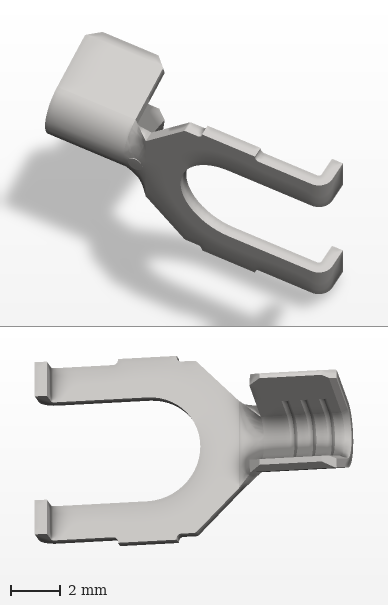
import cadquery as cq
import math

LENGTH = 12.7
EAR_WIDTH = 7.65
STOCK = 0.5

BARREL_LENGTH = 3.54
BARREL_DEPTH = 4.06
BARREL_RAISE = 0.03
BARREL_RADIUS = 1.42
LEG_SPREAD = 15.4
LEG_CORNER = 0.51
LEG_BEVEL_LENGTH = 0.46
LEG_BEVEL_DEPTH = 0.27

ENTRY_LENGTH = 0.25
ENTRY_DEPTH = 0.13
GROOVE_COUNT = 3
GROOVE_FIRST = 0.8
GROOVE_PITCH = 0.76
GROOVE_WIDTH = 0.3
GROOVE_DEPTH = 0.13
GROOVE_END_Y = 2.29

NECK_END = 4.57
NECK_WIDTH = 3.63
PIP_X = 4.09
PIP_RADIUS = 0.33

FORK_WIDTH = 7.16
SHOULDER_ROUND = 0.19
SLOT_RADIUS = 2.16
SLOT_BOTTOM = 6.15
EAR_START = 7.11
EAR_END = 9.51
EAR_FILLET = 0.19
PICK_MARGIN = 0.06
TIP_HEIGHT = 1.51
TIP_INNER_RADIUS = 0.13

spread = math.radians(LEG_SPREAD)
inner_radius = BARREL_RADIUS - STOCK
arc_center_y = BARREL_RAISE + BARREL_RADIUS
tangent_y = arc_center_y - inner_radius * math.sin(spread)
leg_length = (BARREL_DEPTH - tangent_y) / math.cos(spread)


def u_point(radius, along, side):
    """Point (y, z) on the U of this radius, `along` the leg past the end of the arc."""
    y = arc_center_y - radius * math.sin(spread) + along * math.cos(spread)
    z = radius * math.cos(spread) + along * math.sin(spread)
    return (y, side * z)


def barrel_band():
    """U-shaped strip of sheet with both legs at full length."""
    outer_bottom = (BARREL_RAISE, 0)
    inner_bottom = (BARREL_RAISE + STOCK, 0)
    return (
        cq.Workplane("YZ")
        .moveTo(*u_point(BARREL_RADIUS, leg_length, 1))
        .lineTo(*u_point(BARREL_RADIUS, 0, 1))
        .threePointArc(outer_bottom, u_point(BARREL_RADIUS, 0, -1))
        .lineTo(*u_point(BARREL_RADIUS, leg_length, -1))
        .lineTo(*u_point(inner_radius, leg_length, -1))
        .lineTo(*u_point(inner_radius, 0, -1))
        .threePointArc(inner_bottom, u_point(inner_radius, 0, 1))
        .lineTo(*u_point(inner_radius, leg_length, 1))
        .close()
        .extrude(BARREL_LENGTH)
    )


def leg_plane(side):
    """Plane at a leg's inner tip: X along the part, Y along the leg, Z out through the sheet."""
    y, z = u_point(inner_radius, leg_length, side)
    outward = (0, -math.sin(spread), side * math.cos(spread))
    return cq.Plane(origin=(0, y, z), xDir=(side, 0, 0), normal=outward)


def trim_leg(body, side):
    """Cut both corners off a leg and bevel its outer tip edge."""
    for corner_x, inward in ((0, side), (side * BARREL_LENGTH, -side)):
        corner = (
            cq.Workplane(leg_plane(side))
            .polyline([
                (corner_x, 0),
                (corner_x + inward * LEG_CORNER, 0),
                (corner_x, -LEG_CORNER),
            ])
            .close()
            .extrude(2 * STOCK, both=True)
        )
        body = body.cut(corner)
    y, z = u_point(BARREL_RADIUS, leg_length, side)
    lower_y = y + LEG_BEVEL_DEPTH * math.sin(spread)
    lower_z = z - side * LEG_BEVEL_DEPTH * math.cos(spread)
    bevel_start = u_point(BARREL_RADIUS, leg_length - LEG_BEVEL_LENGTH, side)
    bevel = (
        cq.Workplane("YZ")
        .polyline([(y, z), (lower_y, lower_z), bevel_start])
        .close()
        .extrude(BARREL_LENGTH)
    )
    return body.cut(bevel)


def inner_sweep(section, along):
    """Sweep (x, depth) points round the inside of the U; depth goes into the sheet."""
    path = (
        cq.Workplane("YZ")
        .moveTo(*u_point(inner_radius, along, 1))
        .lineTo(*u_point(inner_radius, 0, 1))
        .threePointArc((BARREL_RAISE + STOCK, 0), u_point(inner_radius, 0, -1))
        .lineTo(*u_point(inner_radius, along, -1))
    )
    y, z = u_point(inner_radius, along, 1)
    plane = cq.Plane(
        origin=(0, y, z),
        xDir=(1, 0, 0),
        normal=(0, -math.cos(spread), -math.sin(spread)),
    )
    return cq.Workplane(plane).polyline(section).close().sweep(path)


def make_barrel():
    barrel = barrel_band()
    for side in (1, -1):
        barrel = trim_leg(barrel, side)
    entry = [(0, 0), (ENTRY_LENGTH, 0), (0, ENTRY_DEPTH)]
    barrel = barrel.cut(inner_sweep(entry, leg_length))
    groove_along = (GROOVE_END_Y - tangent_y) / math.cos(spread)
    for index in range(GROOVE_COUNT):
        middle = GROOVE_FIRST + index * GROOVE_PITCH
        groove = [
            (middle - GROOVE_WIDTH / 2, 0),
            (middle + GROOVE_WIDTH / 2, 0),
            (middle, GROOVE_DEPTH),
        ]
        barrel = barrel.cut(inner_sweep(groove, groove_along))
    return barrel


def make_neck():
    """Ruled blend from the curved band of the barrel to the flat end of the fork."""
    neck = (
        cq.Workplane("YZ", origin=(BARREL_LENGTH, 0, 0))
        .moveTo(*u_point(BARREL_RADIUS, 0, 1))
        .threePointArc((BARREL_RAISE, 0), u_point(BARREL_RADIUS, 0, -1))
        .lineTo(*u_point(inner_radius, 0, -1))
        .threePointArc((BARREL_RAISE + STOCK, 0), u_point(inner_radius, 0, 1))
        .close()
        .workplane(offset=NECK_END - BARREL_LENGTH)
        .moveTo(0, NECK_WIDTH / 2)
        .lineTo(0, -NECK_WIDTH / 2)
        .lineTo(STOCK, -NECK_WIDTH / 2)
        .lineTo(STOCK, NECK_WIDTH / 2)
        .close()
        .loft(ruled=True)
    )
    pip = (
        cq.Workplane("XZ")
        .center(PIP_X, 0)
        .circle(PIP_RADIUS)
        .extrude(-STOCK)
    )
    return neck.union(pip)


def make_fork():
    outer_z = FORK_WIDTH / 2
    neck_z = NECK_WIDTH / 2
    shoulder_x = NECK_END + outer_z - neck_z
    blank = (
        cq.Workplane("XZ")
        .polyline([
            (NECK_END, -neck_z),
            (shoulder_x, -outer_z),
            (LENGTH, -outer_z),
            (LENGTH, outer_z),
            (shoulder_x, outer_z),
            (NECK_END, neck_z),
        ])
        .close()
        .extrude(-TIP_HEIGHT)
    )
    shoulders = cq.selectors.BoxSelector(
        (shoulder_x - PICK_MARGIN, -PICK_MARGIN, -EAR_WIDTH),
        (shoulder_x + PICK_MARGIN, TIP_HEIGHT + PICK_MARGIN, EAR_WIDTH),
    )
    blank = blank.edges("|Y").edges(shoulders).fillet(SHOULDER_ROUND)

    ears = (
        cq.Workplane("XZ")
        .center((EAR_START + EAR_END) / 2, 0)
        .rect(EAR_END - EAR_START, EAR_WIDTH)
        .extrude(-TIP_HEIGHT)
    )
    blank = blank.union(ears)
    ear_roots = cq.selectors.BoxSelector(
        (EAR_START - PICK_MARGIN, -PICK_MARGIN, -outer_z - PICK_MARGIN),
        (EAR_END + PICK_MARGIN, TIP_HEIGHT + PICK_MARGIN, outer_z + PICK_MARGIN),
    )
    blank = blank.edges("|Y").edges(ear_roots).fillet(EAR_FILLET)

    slot_center = SLOT_BOTTOM + SLOT_RADIUS
    slot = (
        cq.Workplane("XZ")
        .moveTo(LENGTH, -SLOT_RADIUS)
        .lineTo(slot_center, -SLOT_RADIUS)
        .threePointArc((SLOT_BOTTOM, 0), (slot_center, SLOT_RADIUS))
        .lineTo(LENGTH, SLOT_RADIUS)
        .close()
        .extrude(-TIP_HEIGHT)
    )

    outer_radius = TIP_INNER_RADIUS + STOCK
    bend_x = LENGTH - outer_radius
    diagonal = math.sqrt(0.5)
    bent_sheet = (
        cq.Workplane("XY")
        .moveTo(NECK_END, 0)
        .lineTo(bend_x, 0)
        .threePointArc(
            (bend_x + outer_radius * diagonal, outer_radius * (1 - diagonal)),
            (LENGTH, outer_radius),
        )
        .lineTo(LENGTH, TIP_HEIGHT)
        .lineTo(LENGTH - STOCK, TIP_HEIGHT)
        .lineTo(LENGTH - STOCK, outer_radius)
        .threePointArc(
            (bend_x + TIP_INNER_RADIUS * diagonal, outer_radius - TIP_INNER_RADIUS * diagonal),
            (bend_x, STOCK),
        )
        .lineTo(NECK_END, STOCK)
        .close()
        .extrude(EAR_WIDTH / 2, both=True)
    )
    return blank.cut(slot).intersect(bent_sheet)


result = make_barrel().union(make_neck()).union(make_fork())